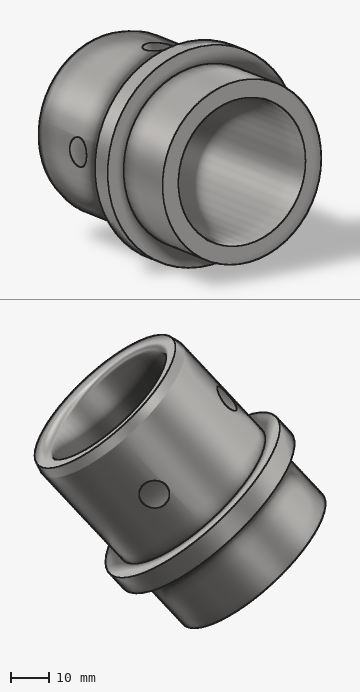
import cadquery as cq
import math

length = 60.0
body_radius = 50.0 / 2
bore_radius = 40.0 / 2
flange_radius = 60.0 / 2
flange_start = 35.5
flange_width = 6.0

lead_length = 2.8
lead_angle = 15.0
bore_fillet = 2.0

dimple_radius = 8.0 / 2
dimple_offset = 20.0
dimple_count = 4

front_x = -length / 2


def bushing():
    """Tube with a collar, a tapered lead-in and a rounded bore mouth."""
    lead_drop = lead_length * math.tan(math.radians(lead_angle))
    body = (
        cq.Workplane("XY")
        .moveTo(front_x, 0)
        .lineTo(front_x, body_radius - lead_drop)
        .lineTo(front_x + lead_length, body_radius)
        .lineTo(front_x + length, body_radius)
        .lineTo(front_x + length, 0)
        .close()
        .revolve(360, (0, 0, 0), (1, 0, 0))
    )
    flange = (
        cq.Workplane("YZ", origin=(front_x + flange_start, 0, 0))
        .circle(flange_radius)
        .extrude(flange_width)
    )
    bore = cq.Workplane("YZ", origin=(front_x, 0, 0)).circle(bore_radius).extrude(length)
    tube = body.union(flange).cut(bore)
    mouth_edge = tube.faces("<X").edges("%CIRCLE").edges(cq.selectors.RadiusNthSelector(0))
    return tube.newObject(mouth_edge.vals()).fillet(bore_fillet)


def dimple():
    """Cutter along +Z whose floor is concave along X and meets the rim of the dimple."""
    rim_low = math.sqrt(body_radius**2 - dimple_radius**2)
    profile = (
        cq.Workplane("XZ")
        .moveTo(-dimple_radius, body_radius)
        .threePointArc((0, rim_low), (dimple_radius, body_radius))
        .lineTo(dimple_radius, flange_radius)
        .lineTo(-dimple_radius, flange_radius)
        .close()
        .extrude(dimple_radius, both=True)
    )
    column = cq.Workplane("XY").circle(dimple_radius).extrude(flange_radius)
    return profile.intersect(column).translate((front_x + dimple_offset, 0, 0))


result = bushing()
for index in range(dimple_count):
    angle = index * 360 / dimple_count
    result = result.cut(dimple().rotate((0, 0, 0), (1, 0, 0), angle))